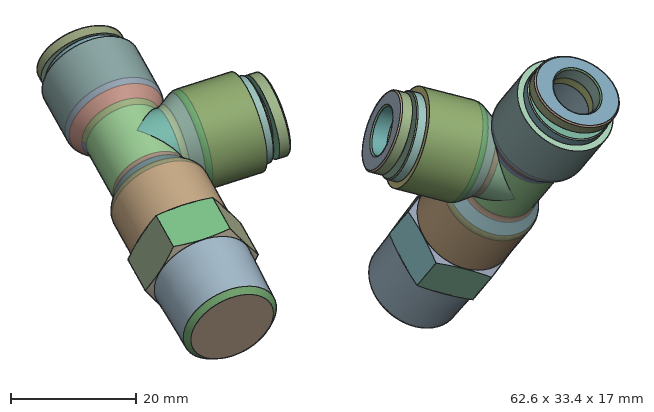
import cadquery as cq
import math


overall_length = 62.6
socket_reach = 23.6
stud_reach = overall_length - socket_reach

body_radius = 16.9 / 2
waist_radius = 13.0 / 2
waist_half_length = 6.0
cone_end = 9.0
cone_blend_radius = 2.0
bore_radius = 8.2 / 2

flange_width = 15.0
flange_height = 13.0
flange_thickness = 2.0
flange_chamfer = 0.25
neck_radius = 9.6 / 2
neck_length = 0.9
mouth_chamfer = 0.25

ring_radius = 14.7 / 2
ring_length = 1.7
ring_chamfer = 0.2

hex_flats = 17.0
hex_length = 8.0
hex_chamfer_depth = 0.45
thread_start_radius = body_radius
thread_length = 12.0
thread_taper = 1 / 32
thread_chamfer = 0.95

sleeve_start = socket_reach - flange_thickness - neck_length
socket_face = sleeve_start - ring_length
hex_start = stud_reach - thread_length - hex_length
hex_corner_radius = hex_flats / math.sqrt(3)

socket_turns = (90, 180)


def x_cylinder(start, length, radius):
    """Cylinder on the X axis."""
    return cq.Workplane("YZ", origin=(start, 0, 0)).circle(radius).extrude(length)


def revolved(outline):
    """Solid of revolution of a half outline (x, radius) about the X axis."""
    return cq.Workplane("XY").polyline(outline).close().revolve(360, (0, 0, 0), (1, 0, 0))


def swung(body, angle):
    """Body swung about the vertical axis through the centre."""
    return body.rotate((0, 0, 0), (0, 0, 1), angle)


def body_arm(end):
    """Waist, cone and full-diameter barrel of one arm, with the cone blended at both ends."""
    outline = [
        (0, 0),
        (0, waist_radius),
        (waist_half_length, waist_radius),
        (cone_end, body_radius),
        (end, body_radius),
        (end, 0),
    ]
    arm = revolved(outline)
    cone_edges = cq.selectors.BoxSelector(
        (waist_half_length / 2, -body_radius, -body_radius),
        ((cone_end + end) / 2, body_radius, body_radius),
        boundingbox=False,
    )
    return arm.edges("%CIRCLE").edges(cone_edges).fillet(cone_blend_radius)


def make_tee_body():
    tee = body_arm(hex_start)
    for angle in socket_turns:
        tee = tee.union(swung(body_arm(socket_face), angle))
    socket_bore = x_cylinder(cone_end, socket_face - cone_end, bore_radius)
    for angle in socket_turns:
        tee = tee.cut(swung(socket_bore, angle))
    return tee


def make_retaining_ring():
    ring = x_cylinder(socket_face, ring_length, ring_radius).faces(">X").chamfer(ring_chamfer)
    return ring.cut(x_cylinder(socket_face, ring_length, bore_radius))


def make_release_sleeve():
    neck = x_cylinder(sleeve_start, neck_length, neck_radius)
    flange = (
        cq.Workplane("YZ", origin=(sleeve_start + neck_length, 0, 0))
        .ellipse(flange_width / 2, flange_height / 2)
        .extrude(flange_thickness)
        .faces(">X")
        .edges()
        .chamfer(flange_chamfer)
    )
    bore = x_cylinder(sleeve_start, flange_thickness + neck_length, bore_radius)
    sleeve = neck.union(flange).cut(bore)
    mouth_edge = cq.selectors.RadiusNthSelector(0)
    return sleeve.faces(">X").edges("%CIRCLE").edges(mouth_edge).chamfer(mouth_chamfer)


def make_stud():
    hex_end = hex_start + hex_length
    hexagon = (
        cq.Workplane("YZ", origin=(hex_start, 0, 0))
        .polygon(6, 2 * hex_corner_radius)
        .extrude(hex_length)
    )
    envelope_outline = [
        (hex_start, 0),
        (hex_start, body_radius),
        (hex_start + hex_chamfer_depth, hex_corner_radius),
        (hex_end - hex_chamfer_depth, hex_corner_radius),
        (hex_end, body_radius),
        (hex_end, 0),
    ]
    envelope = revolved(envelope_outline)
    taper_length = thread_length - thread_chamfer
    thread_end_radius = thread_start_radius - taper_length * thread_taper
    thread_outline = [
        (hex_end, 0),
        (hex_end, thread_start_radius),
        (hex_end + taper_length, thread_end_radius),
        (stud_reach, thread_end_radius - thread_chamfer),
        (stud_reach, 0),
    ]
    thread = revolved(thread_outline)
    return hexagon.intersect(envelope).union(thread)


tee_body = make_tee_body()
stud = make_stud()
retaining_rings = [swung(make_retaining_ring(), angle) for angle in socket_turns]
release_sleeves = [swung(make_release_sleeve(), angle) for angle in socket_turns]

result = cq.Compound.makeCompound([
    tee_body.val(),
    stud.val(),
    *[ring.val() for ring in retaining_rings],
    *[sleeve.val() for sleeve in release_sleeves],
])